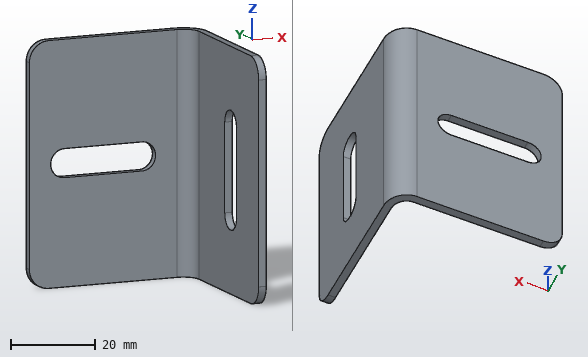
import cadquery as cq

width = 44.0
depth = 42.0
height = 60.0
thickness = 2.0

inner_bend_radius = 4.0
outer_bend_radius = inner_bend_radius + thickness
corner_radius = 5.0

slot_width = 7.0
back_slot_length = 27.0
back_slot_from_edge = 19.0
side_slot_length = 29.0
side_slot_from_edge = 17.0

mid_height = height / 2


def bent_sheet():
    """L-shaped sheet: back leg along -X, side leg along -Y."""
    outer = cq.Workplane("XY").box(width, depth, height, centered=False)
    outer = outer.translate((-width, -depth, 0))
    outer = outer.edges("|Z and >X and >Y").fillet(outer_bend_radius)
    inner = cq.Workplane("XY").box(width, depth, height, centered=False)
    inner = inner.translate((-width - thickness, -depth - thickness, 0))
    inner = inner.edges("|Z and >X and >Y").fillet(inner_bend_radius)
    return outer.cut(inner)


def round_free_corners(sheet):
    sheet = sheet.faces("<X").edges("|Y").fillet(corner_radius)
    return sheet.faces("<Y").edges("|X").fillet(corner_radius)


def back_slot():
    """Horizontal slot through the back leg."""
    return (
        cq.Workplane("XZ")
        .center(-width + back_slot_from_edge, mid_height)
        .slot2D(back_slot_length, slot_width)
        .extrude(thickness)
    )


def side_slot():
    """Vertical slot through the side leg."""
    return (
        cq.Workplane("YZ")
        .center(-depth + side_slot_from_edge, mid_height)
        .slot2D(side_slot_length, slot_width, 90)
        .extrude(-thickness)
    )


result = round_free_corners(bent_sheet()).cut(back_slot()).cut(side_slot())